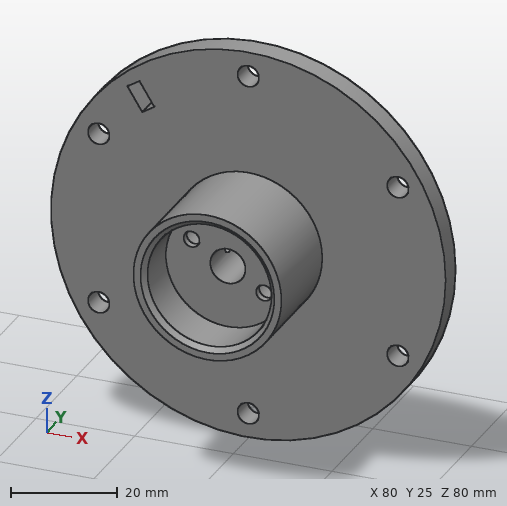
import cadquery as cq

flange_diameter = 80.0
flange_thickness = 5.0
bolt_count = 6
bolt_angle = 90.0
bolt_circle_diameter = 70.0
bolt_hole_diameter = 4.3

hub_diameter = 30.0
hub_length = 20.0
bore_diameter = 25.1
bore_depth = 10.0
mouth_diameter = 27.1
mouth_chamfer = (mouth_diameter - bore_diameter) / 2

shaft_hole_diameter = 7.1
pin_count = 2
pin_hole_diameter = 3.2
pin_circle_diameter = 17.0
pin_angle = 150.0
pin_counterbore_diameter = 6.5
pin_seat_thickness = 1.5

side_hole_diameter = 2.8
side_hole_offset = 1.5

slot_length = 5.7
slot_width = 2.9
slot_x = -21.8
slot_z = 26.8
slot_angle = -58.0

total_depth = flange_thickness + hub_length
pin_counterbore_depth = total_depth - bore_depth - pin_seat_thickness


def front_plane(depth):
    """XZ sketch plane at the given distance in front of the back face, normal -Y."""
    return cq.Workplane("XZ", origin=(0, -depth, 0))


def hole_ring(diameter, circle_diameter, count, start_angle, depth=total_depth):
    """Equally spaced cutters on a circle about the axis, going in from the back face."""
    return (
        front_plane(0)
        .polarArray(circle_diameter / 2, start_angle, 360, count)
        .circle(diameter / 2)
        .extrude(depth)
    )


body = front_plane(0).circle(flange_diameter / 2).extrude(flange_thickness)
hub = front_plane(flange_thickness).circle(hub_diameter / 2).extrude(hub_length)
body = body.union(hub)

bore = front_plane(total_depth - bore_depth).circle(bore_diameter / 2).extrude(bore_depth)
mouth = cq.Workplane(
    cq.Solid.makeCone(
        bore_diameter / 2,
        mouth_diameter / 2,
        mouth_chamfer,
        pnt=cq.Vector(0, mouth_chamfer - total_depth, 0),
        dir=cq.Vector(0, -1, 0),
    )
)
body = body.cut(bore).cut(mouth)

shaft_hole = front_plane(0).circle(shaft_hole_diameter / 2).extrude(total_depth)
body = body.cut(shaft_hole)
body = body.cut(hole_ring(pin_hole_diameter, pin_circle_diameter, pin_count, pin_angle))
body = body.cut(hole_ring(bolt_hole_diameter, bolt_circle_diameter, bolt_count, bolt_angle))

body = body.cut(
    hole_ring(
        pin_counterbore_diameter, pin_circle_diameter, pin_count, pin_angle, pin_counterbore_depth
    )
)

side_hole = (
    cq.Workplane("YZ", origin=(-hub_diameter / 2, -flange_thickness - side_hole_offset, 0))
    .circle(side_hole_diameter / 2)
    .extrude(hub_diameter / 2)
)
body = body.cut(side_hole)

slot = (
    front_plane(0)
    .center(slot_x, slot_z)
    .transformed(rotate=(0, 0, slot_angle))
    .rect(slot_length, slot_width)
    .extrude(flange_thickness)
)
result = body.cut(slot)